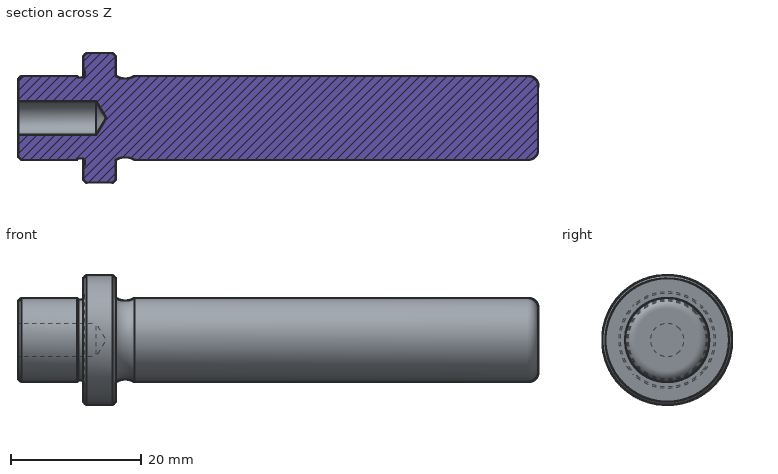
import cadquery as cq
import math

length = 80.0
shank_radius = 6.5
spigot_radius = 6.5
collar_radius = 10.0
collar_start = 10.0
collar_end = 15.0
edge_chamfer = 0.5

end_round = 1.6

relief_width = 2.9
relief_depth = 0.4
relief_end = collar_end + relief_width
relief_middle = collar_end + relief_width / 2

undercut_depth = 0.2
undercut_start = 9.0
undercut_outer_radius = 7.4
undercut_corner_radius = 0.5
undercut_floor = spigot_radius - undercut_depth
undercut_face = collar_start + undercut_depth

hole_radius = 2.6
hole_depth = 12.0
drill_point_angle = 118.0


def make_body():
    """Revolve the half profile, with x along the pin and y as radius."""
    corner_x = undercut_face - undercut_corner_radius
    corner_y = undercut_floor + undercut_corner_radius
    corner_reach = undercut_corner_radius * math.sqrt(0.5)
    corner_middle = (corner_x + corner_reach, corner_y - corner_reach)
    round_reach = end_round * math.sqrt(0.5)
    round_middle = (length - end_round + round_reach, shank_radius - end_round + round_reach)

    profile = (
        cq.Workplane("XY")
        .moveTo(0, 0)
        .lineTo(0, spigot_radius - edge_chamfer)
        .lineTo(edge_chamfer, spigot_radius)
        .lineTo(undercut_start, spigot_radius)
        .lineTo(undercut_start + undercut_depth, undercut_floor)
        .lineTo(corner_x, undercut_floor)
        .threePointArc(corner_middle, (undercut_face, corner_y))
        .lineTo(undercut_face, undercut_outer_radius - undercut_depth)
        .lineTo(collar_start, undercut_outer_radius)
        .lineTo(collar_start, collar_radius - edge_chamfer)
        .lineTo(collar_start + edge_chamfer, collar_radius)
        .lineTo(collar_end - edge_chamfer, collar_radius)
        .lineTo(collar_end, collar_radius - edge_chamfer)
        .lineTo(collar_end, shank_radius)
        .threePointArc((relief_middle, shank_radius - relief_depth), (relief_end, shank_radius))
        .lineTo(length - end_round, shank_radius)
        .threePointArc(round_middle, (length, shank_radius - end_round))
        .lineTo(length, 0)
        .close()
    )
    return profile.revolve(360, (0, 0, 0), (1, 0, 0))


def make_hole():
    """Drilled hole with its conical bottom."""
    point_length = hole_radius / math.tan(math.radians(drill_point_angle / 2))
    profile = (
        cq.Workplane("XY")
        .moveTo(0, 0)
        .lineTo(0, hole_radius)
        .lineTo(hole_depth, hole_radius)
        .lineTo(hole_depth + point_length, 0)
        .close()
    )
    return profile.revolve(360, (0, 0, 0), (1, 0, 0))


result = make_body().cut(make_hole())